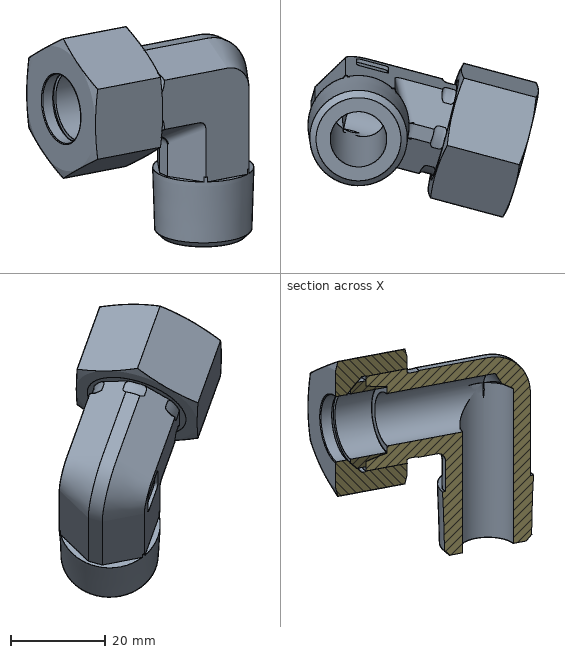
import cadquery as cq
import math

NUT_END = 36.0
OVERALL_HEIGHT = 49.6

NUT_SIDES = 6
NUT_FLATS = 27.0
NUT_LENGTH = 17.0
NUT_CORNER_ANGLE = 15.0
TUBE_DIAMETER = 15.0
NUT_MOUTH_DEPTH = 2.75
NUT_MOUTH_CHAMFER = 0.2

THREAD_DIAMETER = 22.0
RING_DIAMETER = 20.0
RING_GAP = 0.8
RING_BAND = 2.0
CONE_MOUTH_DIAMETER = 17.3
CONE_LENGTH = 4.95
CONE_HALF_ANGLE = 12.0

BODY_FLATS = 19.0
CORNER_FLAT_WIDTH = 3.1
INNER_FILLET = 2.0
TOLERANCE = 0.005

COLLAR_DIAMETER = 21.5
COLLAR_TOP = 19.0
COLLAR_HEIGHT = 1.0
CORNER_TRIM_HEIGHT = 1.1
TAPER_END_DIAMETER = 20.75
END_CHAMFER = 1.35

GROOVE_DIAMETER = 19.75
GROOVE_FLOOR_START = 16.95
GROOVE_FLOOR_END = 18.35
GROOVE_FILLET = 1.0

BORE_DIAMETER = 12.0
BORE_OVERRUN = 1.7
DRILL_HALF_ANGLE = 59.0

RECESS_SIZE = 7.05
RECESS_CORNER = 1.0
RECESS_DEPTH = 0.8
RECESS_OFFSET = -0.5

nut_corner_radius = NUT_FLATS / 2 / math.cos(math.radians(30))
thread_end = OVERALL_HEIGHT - nut_corner_radius

nut_back = NUT_END - NUT_LENGTH
nut_shoulder = NUT_END - NUT_MOUTH_DEPTH
ring_front = nut_shoulder - RING_GAP
ring_front_radius = TUBE_DIAMETER / 2 + RING_GAP
ring_band_front = ring_front - (RING_DIAMETER / 2 - ring_front_radius)
cone_mouth = ring_band_front - RING_BAND
cone_end = cone_mouth - CONE_LENGTH
cone_end_radius = CONE_MOUTH_DIAMETER / 2 - CONE_LENGTH * math.tan(math.radians(CONE_HALF_ANGLE))


def revolve_about_nut_axis(points):
    """Solid of revolution about the nut leg, from (radius, distance from the origin) points."""
    outline = [(radius, -distance) for radius, distance in points]
    return cq.Workplane("XY").polyline(outline).close().revolve(360, (0, 0), (0, 1))


def make_bore():
    """Blind bore along the nut leg, ending in a drill point past the origin."""
    radius = BORE_DIAMETER / 2
    point_length = radius / math.tan(math.radians(DRILL_HALF_ANGLE))
    return revolve_about_nut_axis(
        [(0, NUT_END), (radius, NUT_END), (radius, -BORE_OVERRUN), (0, -BORE_OVERRUN - point_length)]
    )


def body_outline():
    """Corners of the body section, with the flat-cut corners at the top and bottom."""
    side = BODY_FLATS / 2
    shoulder = side * math.tan(math.radians(30))
    half_flat = CORNER_FLAT_WIDTH / 2
    top = 2 * shoulder - half_flat * math.tan(math.radians(30))
    upper = [(side, shoulder), (half_flat, top), (-half_flat, top), (-side, shoulder)]
    lower = [(-x, -y) for x, y in upper]
    return upper, lower


def make_bent_bar():
    """The two body legs, the round outer bend between them and the filleted inner corner."""
    upper, lower = body_outline()
    nut_leg = cq.Workplane("XZ").polyline(upper + lower).close().extrude(nut_back)
    thread_leg = cq.Workplane("XY").polyline(upper + lower).close().extrude(-COLLAR_TOP)

    trim = cq.Workplane("XY").workplane(offset=-COLLAR_TOP).circle(BODY_FLATS).circle(COLLAR_DIAMETER / 2)
    thread_leg = thread_leg.cut(trim.extrude(CORNER_TRIM_HEIGHT))

    half_section = [(BODY_FLATS / 2, 0)] + upper + [(-BODY_FLATS / 2, 0)]
    bend = cq.Workplane("XZ").polyline(half_section).close().revolve(90, (0, 0), (-1, 0))

    bar = nut_leg.union(thread_leg).union(bend)
    miter_edges = [
        edge for edge in bar.edges().vals()
        if edge.Center().y < 0
        and all(math.isclose(vertex.Y, vertex.Z, abs_tol=TOLERANCE) for vertex in edge.Vertices())
    ]
    return bar.newObject(miter_edges).fillet(INNER_FILLET)


def make_groove_cutter():
    """Ring cutter with a flat floor and a concave round at each side."""
    floor = GROOVE_DIAMETER / 2
    top = floor + GROOVE_FILLET
    outside = BODY_FLATS
    inner_side = GROOVE_FLOOR_START - GROOVE_FILLET
    mid = GROOVE_FILLET * math.sqrt(0.5)
    end_depth = nut_back - GROOVE_FLOOR_END
    half_depth = end_depth / 2

    def rise(distance):
        return top - math.sqrt(GROOVE_FILLET**2 - distance**2)

    return (
        cq.Workplane("XY")
        .moveTo(outside, -inner_side)
        .lineTo(top, -inner_side)
        .threePointArc((top - mid, -GROOVE_FLOOR_START + mid), (floor, -GROOVE_FLOOR_START))
        .lineTo(floor, -GROOVE_FLOOR_END)
        .threePointArc((rise(half_depth), -GROOVE_FLOOR_END - half_depth), (rise(end_depth), -nut_back))
        .lineTo(outside, -nut_back)
        .close()
        .revolve(360, (0, 0), (0, 1))
    )


def make_taper_end():
    """Collar, taper thread and end chamfer of the lower leg."""
    collar_radius = COLLAR_DIAMETER / 2
    end_radius = TAPER_END_DIAMETER / 2
    outline = [
        (0, -COLLAR_TOP),
        (collar_radius, -COLLAR_TOP),
        (collar_radius, -COLLAR_TOP - COLLAR_HEIGHT),
        (end_radius, -thread_end + END_CHAMFER),
        (end_radius - END_CHAMFER, -thread_end),
        (0, -thread_end),
    ]
    return cq.Workplane("XZ").polyline(outline).close().revolve(360, (0, 0), (0, 1))


def make_recess():
    """Shallow round-cornered square recess in the -X face."""
    return (
        cq.Workplane("YZ")
        .workplane(offset=-BODY_FLATS / 2)
        .center(RECESS_OFFSET, RECESS_OFFSET)
        .rect(RECESS_SIZE, RECESS_SIZE)
        .extrude(RECESS_DEPTH)
        .edges("|X")
        .fillet(RECESS_CORNER)
    )


def make_elbow():
    thread_radius = THREAD_DIAMETER / 2
    straight_thread = revolve_about_nut_axis(
        [(0, nut_back), (thread_radius, nut_back), (thread_radius, cone_mouth), (0, cone_mouth)]
    )
    ring_seat = revolve_about_nut_axis(
        [(0, cone_mouth), (CONE_MOUTH_DIAMETER / 2, cone_mouth), (cone_end_radius, cone_end), (0, cone_end)]
    )
    nut_leg_bore = make_bore()
    thread_leg_bore = nut_leg_bore.rotate((0, 0, 0), (1, 0, 0), 90)
    return (
        make_bent_bar()
        .cut(make_groove_cutter())
        .union(make_taper_end())
        .union(straight_thread)
        .cut(ring_seat)
        .cut(nut_leg_bore)
        .cut(thread_leg_bore)
        .cut(make_recess())
    )


def make_nut():
    """Hexagon nut with corners up and down, chamfered at both ends."""
    corners = [
        (nut_corner_radius * math.sin(angle), nut_corner_radius * math.cos(angle))
        for angle in (2 * math.pi * i / NUT_SIDES for i in range(NUT_SIDES))
    ]
    hexagon = (
        cq.Workplane("XZ").workplane(offset=nut_back).polyline(corners).close().extrude(NUT_LENGTH)
    )
    face_radius = NUT_FLATS / 2
    corner_drop = (nut_corner_radius - face_radius) * math.tan(math.radians(NUT_CORNER_ANGLE))
    envelope = revolve_about_nut_axis([
        (0, nut_back),
        (face_radius, nut_back),
        (nut_corner_radius, nut_back + corner_drop),
        (nut_corner_radius, NUT_END - corner_drop),
        (face_radius, NUT_END),
        (0, NUT_END),
    ])
    thread_radius = THREAD_DIAMETER / 2
    tube_radius = TUBE_DIAMETER / 2
    cavity = revolve_about_nut_axis([
        (0, nut_back),
        (thread_radius, nut_back),
        (thread_radius, nut_shoulder - (thread_radius - tube_radius)),
        (tube_radius, nut_shoulder),
        (tube_radius, NUT_END - NUT_MOUTH_CHAMFER),
        (tube_radius + NUT_MOUTH_CHAMFER, NUT_END),
        (0, NUT_END),
    ])
    return hexagon.intersect(envelope).cut(cavity)


def make_cutting_ring():
    """Ring between the 45 degree nut shoulder and the tapered seat of the elbow."""
    tube_radius = TUBE_DIAMETER / 2
    return revolve_about_nut_axis([
        (tube_radius, ring_front),
        (ring_front_radius, ring_front),
        (RING_DIAMETER / 2, ring_band_front),
        (RING_DIAMETER / 2, cone_mouth),
        (CONE_MOUTH_DIAMETER / 2, cone_mouth),
        (cone_end_radius, cone_end),
        (tube_radius, cone_end),
    ])


elbow = make_elbow()
nut = make_nut()
cutting_ring = make_cutting_ring()

result = cq.Compound.makeCompound([elbow.val(), nut.val(), cutting_ring.val()])